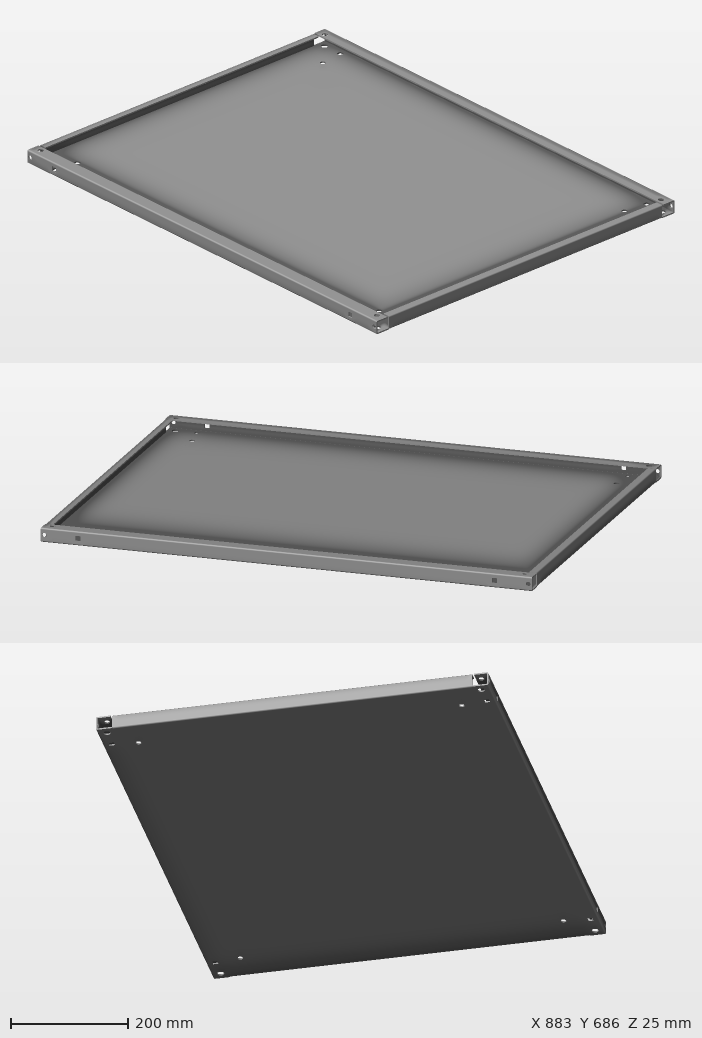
import cadquery as cq

length = 883.02
width = 686.0
height = 25.0

sheet = 2.5
bend_inner = 0.1
bend_outer = bend_inner + sheet

side_lip = 25.0
end_lip = 14.0
end_wall_setback = 28.5

lip_hole_diameter = 10.5
lip_hole_from_end = 16.5
lip_hole_from_side = 15.75
access_hole_diameter = 12.5
access_hole_from_end = 15.0
access_hole_from_side = lip_hole_from_side

panel_hole_diameter = 10.0
panel_hole_from_end = 60.0
panel_hole_from_side = 60.5

wall_end_hole_diameter = 8.0
wall_end_hole_from_end = 6.5

square_hole = 9.2
square_wall_hole_from_end = 67.0
square_floor_hole_from_end = 54.0
square_floor_hole_from_side = 15.0

half_height = height / 2
floor_underside = -half_height
end_wall_run = width - 2 * end_wall_setback


def rounded_bar(plane, axis, size_across, size_up, radius, run):
    """A bar of the given run along the axis, with its four long edges rounded."""
    bar = cq.Workplane(plane).rect(size_across, size_up).extrude(run / 2, both=True)
    return bar.edges("|" + axis).fillet(radius)


def channel(plane, axis, across, run, lip):
    """Floor with a wall and an inward top lip along two opposite edges, bent from one sheet."""
    outside = rounded_bar(plane, axis, across, height, bend_outer, run)
    inside = rounded_bar(plane, axis, across - 2 * sheet, height - 2 * sheet, bend_inner, run)
    mouth = cq.Workplane(plane, origin=(0, 0, half_height)).rect(across - 2 * lip, height)
    return outside.cut(inside).cut(mouth.extrude(run / 2, both=True))


def side_channel():
    """Floor and side walls over the full length, cleared where the end walls bend up."""
    between_ends = cq.Workplane("XY").box(length - 2 * bend_outer, width, height)
    end_gaps = cq.Workplane("XY").box(length, end_wall_run, height).cut(between_ends)
    return channel("YZ", "X", width, length, side_lip).cut(end_gaps)


def end_channel():
    """Floor and end walls between the open corners."""
    return channel("XZ", "Y", length, end_wall_run, end_lip)


def corner_centres(from_end, from_side, bottom):
    """Four hole centres, one per corner, at the given height."""
    x_spacing = length - 2 * from_end
    y_spacing = width - 2 * from_side
    plane = cq.Workplane("XY", origin=(0, 0, bottom))
    return plane.rect(x_spacing, y_spacing, forConstruction=True).vertices()


def round_corner_holes(diameter, from_end, from_side, bottom):
    """Round vertical cutters of half the tray height, one per corner."""
    centres = corner_centres(from_end, from_side, bottom)
    return centres.circle(diameter / 2).extrude(half_height)


def square_floor_holes():
    """Square cutters through the floor, one per corner."""
    centres = corner_centres(square_floor_hole_from_end, square_floor_hole_from_side, floor_underside)
    return centres.rect(square_hole, square_hole).extrude(half_height)


def wall_centres(from_end):
    """Two hole centres at mid height, one near each end of the side walls."""
    x = length / 2 - from_end
    return cq.Workplane("XZ").pushPoints([(-x, 0), (x, 0)])


def wall_end_holes():
    """Round cutters through both side walls."""
    centres = wall_centres(wall_end_hole_from_end)
    return centres.circle(wall_end_hole_diameter / 2).extrude(width / 2, both=True)


def square_wall_holes():
    """Square cutters through both side walls."""
    centres = wall_centres(square_wall_hole_from_end)
    return centres.rect(square_hole, square_hole).extrude(width / 2, both=True)


lip_holes = round_corner_holes(lip_hole_diameter, lip_hole_from_end, lip_hole_from_side, 0)
access_holes = round_corner_holes(
    access_hole_diameter, access_hole_from_end, access_hole_from_side, floor_underside
)
panel_holes = round_corner_holes(
    panel_hole_diameter, panel_hole_from_end, panel_hole_from_side, floor_underside
)

pierced_sides = side_channel().cut(wall_end_holes()).cut(square_wall_holes())

result = (
    pierced_sides.union(end_channel())
    .cut(lip_holes)
    .cut(access_holes)
    .cut(panel_holes)
    .cut(square_floor_holes())
)